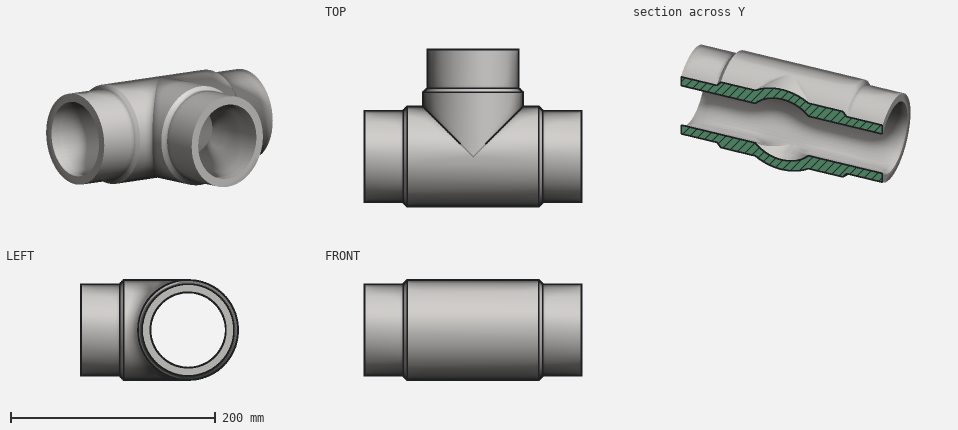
import cadquery as cq

run_length = 213.0
branch_reach = 105.0
spigot_length = 38.0
spigot_diameter = 90.0
wall = 8.2
body_diameter = 98.2

spigot_radius = spigot_diameter / 2
body_radius = body_diameter / 2
bore_radius = spigot_radius - wall
chamfer = body_radius - spigot_radius

run_half = run_length / 2
run_body_half = run_half - spigot_length
branch_body_reach = branch_reach - spigot_length


def branch_outside():
    """Solid stepped branch from the tee centre along +Y, with a chamfered body end."""
    return (
        cq.Workplane("XY")
        .lineTo(body_radius, 0)
        .lineTo(body_radius, branch_body_reach - chamfer)
        .lineTo(spigot_radius, branch_body_reach)
        .lineTo(spigot_radius, branch_reach)
        .lineTo(0, branch_reach)
        .close()
        .revolve(360, (0, 0, 0), (0, 1, 0))
    )


def run_outside():
    """Solid run along X, symmetric about the tee centre."""
    return (
        cq.Workplane("XY")
        .moveTo(-run_half, 0)
        .lineTo(-run_half, spigot_radius)
        .lineTo(-run_body_half, spigot_radius)
        .lineTo(-run_body_half + chamfer, body_radius)
        .lineTo(run_body_half - chamfer, body_radius)
        .lineTo(run_body_half, spigot_radius)
        .lineTo(run_half, spigot_radius)
        .lineTo(run_half, 0)
        .close()
        .revolve(360, (0, 0, 0), (1, 0, 0))
    )


def run_bore():
    """Bore through the full run."""
    return cq.Workplane("YZ").circle(bore_radius).extrude(run_half, both=True)


def branch_bore():
    """Bore from the run axis out through the branch end."""
    return cq.Workplane("XZ").circle(bore_radius).extrude(-branch_reach)


outside = run_outside().union(branch_outside())
result = outside.cut(run_bore()).cut(branch_bore())